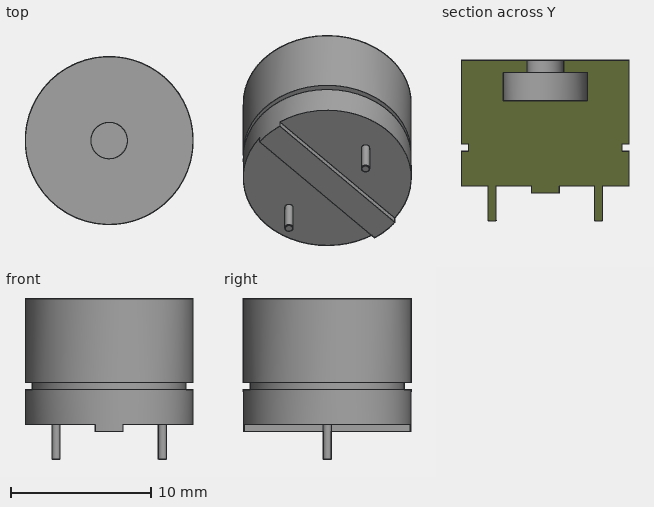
import cadquery as cq

body_diameter = 12.0
groove_diameter = 11.0
upper_height = 6.0
groove_height = 0.5
lower_height = 2.5

pin_diameter = 0.6
pin_length = 2.5
pin_spacing = 7.6
pin_tip_chamfer = 0.05

rib_width = 2.0
rib_height = 0.5

hole_diameter = 2.6
hole_depth = 0.9
chamber_diameter = 6.0
chamber_height = 2.0

groove_bottom = pin_length + lower_height
groove_top = groove_bottom + groove_height
body_top = groove_top + upper_height


def disc(diameter, bottom, height):
    """Vertical cylinder on the body axis."""
    return cq.Workplane("XY").workplane(offset=bottom).circle(diameter / 2).extrude(height)


def make_body():
    """Base and cap separated by a narrow groove."""
    base = disc(body_diameter, pin_length, lower_height)
    neck = disc(groove_diameter, groove_bottom, groove_height)
    cap = disc(body_diameter, groove_top, upper_height)
    return base.union(neck).union(cap)


def make_rib():
    """Standoff rib across the underside, with ends following the round body."""
    rib_bottom = pin_length - rib_height
    bar = (
        cq.Workplane("XY")
        .workplane(offset=rib_bottom)
        .rect(rib_width, body_diameter)
        .extrude(rib_height)
    )
    return bar.intersect(disc(body_diameter, rib_bottom, rib_height))


def make_pins():
    """Two leads on the X axis with chamfered tips."""
    return (
        cq.Workplane("XY")
        .pushPoints([(-pin_spacing / 2, 0), (pin_spacing / 2, 0)])
        .circle(pin_diameter / 2)
        .extrude(pin_length)
        .faces("<Z")
        .chamfer(pin_tip_chamfer)
    )


sound_hole = disc(hole_diameter, body_top - hole_depth, hole_depth)
chamber = disc(chamber_diameter, body_top - hole_depth - chamber_height, chamber_height)

result = make_body().union(make_rib()).union(make_pins()).cut(sound_hole).cut(chamber)